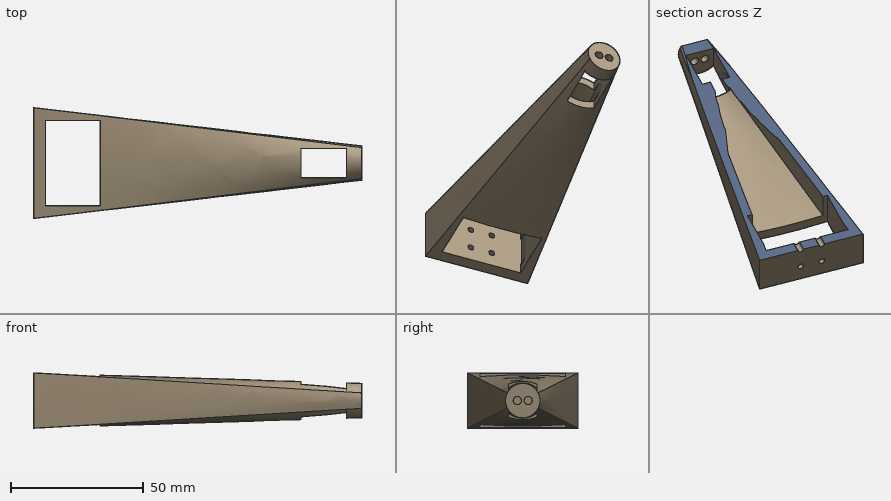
import cadquery as cq
import math

length = 124.0
base_width = 41.9
base_height = 21.0
tip_diameter = 13.0

side_wall = 4.0
base_wall = 4.6
tip_wall = 5.8
cavity_tip_diameter = 7.5

base_window_length = 20.6
base_window_width = 32.1
tip_window_length = 17.1
tip_window_width = 10.9

base_hole_diameter = 2.2
base_hole_pitch = 8.5
tip_hole_diameter = 3.1
tip_hole_pitch = 4.1


def rectangle_to_circle(width, height, diameter):
    """Straight-ruled loft whose rectangle corners run to matching points on the tip circle."""
    corner_angle = math.atan2(height, width)
    radius = diameter / 2
    y = radius * math.cos(corner_angle)
    z = radius * math.sin(corner_angle)
    base = cq.Workplane("YZ").moveTo(width / 2, height / 2)
    base = base.lineTo(-width / 2, height / 2).lineTo(-width / 2, -height / 2)
    base = base.lineTo(width / 2, -height / 2).close()
    tip = cq.Workplane("YZ", origin=(length, 0, 0)).moveTo(y, z)
    tip = tip.threePointArc((0, radius), (-y, z)).threePointArc((-radius, 0), (-y, -z))
    tip = tip.threePointArc((0, -radius), (y, -z)).threePointArc((radius, 0), (y, z)).close()
    loft = cq.Solid.makeLoft([base.val(), tip.val()], True)
    return cq.Workplane(obj=loft)


def box_cutter(start, box_length, width):
    """Box taller than the body, starting at the given X position."""
    center = (start + box_length / 2, 0, 0)
    return cq.Workplane(origin=center).box(box_length, width, 2 * base_height)


def square_pattern(pitch):
    """Four (y, z) centres at the corners of a square about the axis."""
    offset = pitch / 2
    return [(y, z) for y in (-offset, offset) for z in (-offset, offset)]


def cylinders(start, depth, diameter, points):
    """Round cutters running along +X."""
    return cq.Workplane("YZ", origin=(start, 0, 0)).pushPoints(points).circle(diameter / 2).extrude(depth)


body = rectangle_to_circle(base_width, base_height, tip_diameter)

tip_wall_start = length - tip_wall
cavity = rectangle_to_circle(base_width - 2 * side_wall, base_height - 2 * side_wall, cavity_tip_diameter)
cavity = cavity.intersect(box_cutter(base_wall, tip_wall_start - base_wall, base_width))
body = body.cut(cavity)

body = body.cut(box_cutter(base_wall, base_window_length, base_window_width))
tip_window_start = tip_wall_start - tip_window_length
body = body.cut(box_cutter(tip_window_start, tip_window_length, tip_window_width))

base_holes = square_pattern(base_hole_pitch)
body = body.cut(cylinders(0, base_wall, base_hole_diameter, base_holes))

tip_holes = [(-tip_hole_pitch / 2, 0), (tip_hole_pitch / 2, 0)]
body = body.cut(cylinders(tip_wall_start, tip_wall, tip_hole_diameter, tip_holes))

result = body